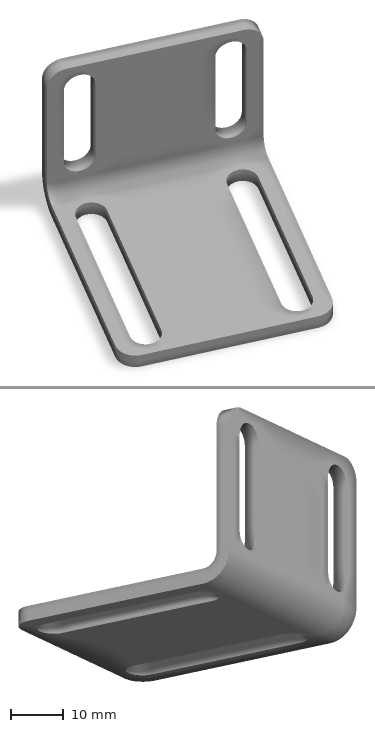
import cadquery as cq

length = 50.0
width = 43.0
height = 35.0
thickness = 3.0
inner_bend_radius = 3.0
outer_bend_radius = inner_bend_radius + thickness
corner_radius = 4.0

slot_width = 6.2
slot_spacing = 30.0
slot_end_margin = 5.5
base_slot_travel = 34.0
wall_slot_travel = 19.0


def make_angle():
    """L-shaped plate with its outer bend on the -X, -Z edge."""
    outline = (
        cq.Workplane("XZ")
        .polyline([
            (0, 0),
            (length, 0),
            (length, thickness),
            (thickness, thickness),
            (thickness, height),
            (0, height),
        ])
        .close()
    )
    angle = outline.extrude(width / 2, both=True)
    inner_edge = cq.selectors.NearestToPointSelector((thickness, 0, thickness))
    outer_edge = cq.selectors.NearestToPointSelector((0, 0, 0))
    angle = angle.edges("|Y").edges(inner_edge).fillet(inner_bend_radius)
    return angle.edges("|Y").edges(outer_edge).fillet(outer_bend_radius)


def round_free_corners(angle):
    """Round the two outer corners of each leg."""
    angle = angle.faces(">X").edges("|Z").fillet(corner_radius)
    return angle.faces(">Z").edges("|X").fillet(corner_radius)


def make_slots(plane, leg_length, travel, angle):
    """Pair of slot cutters; plane is named so that its local X or Y runs along the leg."""
    along_leg = leg_length - slot_end_margin - travel / 2
    offsets = (-slot_spacing / 2, slot_spacing / 2)
    if plane == "XY":
        centres = [(along_leg, y) for y in offsets]
    else:
        centres = [(y, along_leg) for y in offsets]
    return (
        cq.Workplane(plane)
        .pushPoints(centres)
        .slot2D(travel + slot_width, slot_width, angle)
        .extrude(thickness)
    )


base_slots = make_slots("XY", length, base_slot_travel, 0)
wall_slots = make_slots("YZ", height, wall_slot_travel, 90)

result = round_free_corners(make_angle()).cut(base_slots).cut(wall_slots)